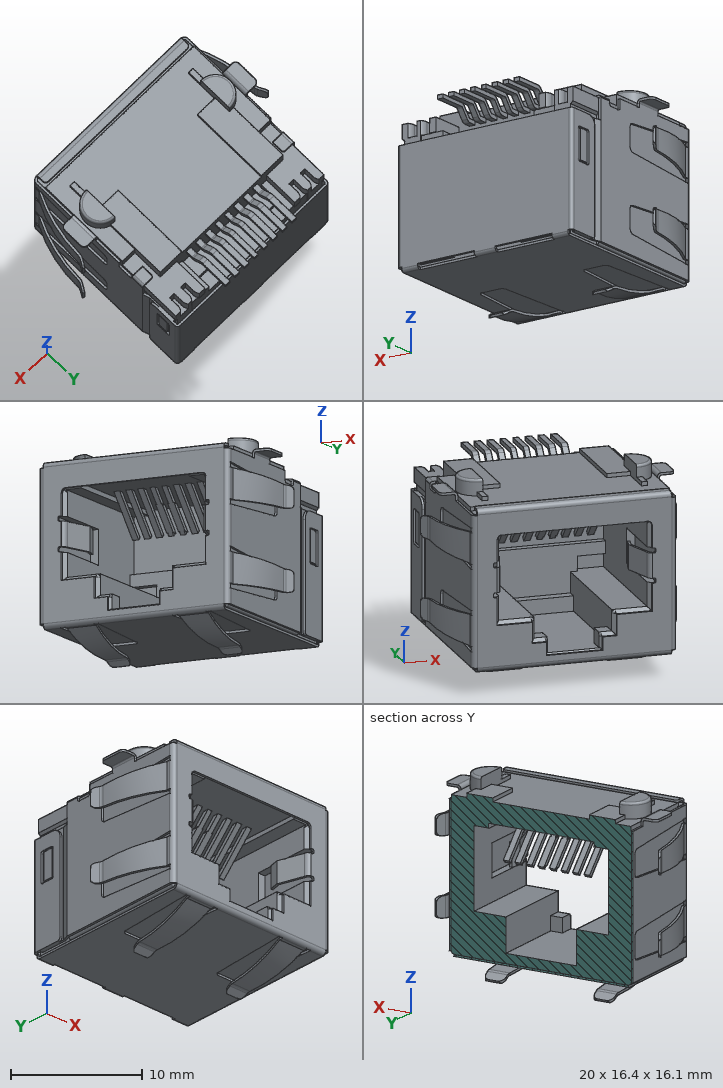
import cadquery as cq
import math


sheet = 0.2
shield_half_width = 8.16
shield_depth = 15.63
shield_height = 13.0
front_bend = 0.4
rear_bend = 0.28
fold_half_width = shield_half_width - front_bend
wall_inner = shield_half_width - sheet
side_bottom = 0.4
side_top = 12.55
side_rear = 11.85
lip_depth = 1.02
lip_corner = 0.3
rear_top = 10.19
flap_front = 12.63
flap_top_corner = 0.8
flap_bottom_corner = 0.3
floor_rear = 15.25
floor_tab_half_width = 0.98
corner_tab_inner = 6.26

step_front = 9.32
step_clip_side = 10.69
step_bottom = 11.6
step_corner = 0.2

tuck_start = 12.43
tuck_rear = 15.0
tuck_outer = wall_inner
window_front, window_rear = 13.43, 14.75
window_bottom, window_top = 6.08, 8.9
window_corner = 0.16
lug_front, lug_rear = 13.59, 14.45
lug_bottom, lug_top = 6.25, 8.82
lug_rise = 0.16

clip_tip = 6.98
clip_top = 12.19
clip_corner = 0.2
ground_front, ground_rear = 4.3, 6.78
ground_tip = 9.38
ground_top = 13.23
ground_corner = 0.4
clip_bend = 0.25
ground_bend = 0.35

port_half_width = 6.2
port_top = 10.83
port_shoulder = 3.65
port_mid_half_width = 3.38
port_mid = 1.96
port_key_half_width = 2.25
port_bottom = 0.9
port_corner = 0.4

port_tab_bottom, port_tab_top = 6.26, 8.26
port_tab_outer = 6.28
port_tab_inner = 5.16
port_tab_bend_y = 2.7
port_tab_return_x = 5.36
port_tab_return_y = 3.6
relief_width = 0.4
relief_reach = 6.48
relief_corner = 0.15

spring_root = 0.7
spring_root_half = 1.25
spring_tip_half = 0.86
spring_mid_y = 3.5
spring_mid_rise = 1.06
spring_kink_y = 6.48
spring_kink_rise = 1.4
spring_kink_radius = 0.6
spring_tip_y = 7.32
spring_tip_rise = 1.85
spring_tip_corner = 0.5
slot_front = 0.36
slot_rear = 8.0
slot_root_half = 1.65
slot_end_half = 1.15
slot_corner = 0.4
side_spring_heights = (3.28, 9.85)
floor_spring_x = 4.82

housing_top = 12.9
housing_rear = 15.25
front_step_depth = 1.2
front_step_top = 12.59
shoulder_rear = 9.48
rear_deck = clip_top - sheet
block_half_width = 6.6
block_rear = 12.2
lower_half_width = tuck_outer - sheet
undercut_bottom, undercut_top = 10.6, 10.8
bay_half_widths = (3.12, 4.26, 4.82)
bay_floors = (9.2, 10.2, undercut_top)
bay_rear_floor = 9.7
relief_face = 15.13
housing_edge = 0.2

rail_top = 13.23
rail_inner = bay_half_widths[1]
rail_front = 5.32
strip_inner = 6.15
strip_front = 2.48
post_radius = 1.56
post_center_x = 6.2
post_top = 14.2
post_edge = 0.2

notch_centers = (5.82, 7.02)
notch_half_width = 0.25
notch_front = 13.89
notch_flare_start = 14.65
notch_flare = 0.18
notch_flare_mid = (0.05, 15.0)
notch_floor = undercut_top

cavity_chamfer = 0.28
cavity_mouth_angle = 45.0
cavity_half_width = port_half_width - cavity_chamfer
cavity_shoulder = port_shoulder + cavity_chamfer
cavity_mid_half_width = port_mid_half_width - cavity_chamfer
cavity_mid = port_mid + cavity_chamfer
cavity_key_half_width = 2.06
cavity_bottom = 1.02
cavity_ceiling = 10.73
contact_bay_half_width = 4.65
contact_bay_ceiling = 11.1
latch_ledge_rear = 1.62
floor_step_y = 10.0
lower_wall_y = 10.8
upper_wall_y = 11.4
upper_wall_bottom = 6.12
corner_pocket_inner = 3.66
corner_pocket_top = 5.12
tab_recess_rear = 5.6
tab_recess_outer = 6.6

contact_count = 8
contact_pitch = 1.02
contact_width = 0.5
middle_contact_width = 0.42
middle_beam_width = 0.56
middle_beam_bottom, middle_beam_top = 8.12, 10.0
contact_thickness = 0.35
foot_rear = 16.45
foot_bend_y = 13.77
heel_bend_y = 12.93
bend_outer_radius = 0.52
bend_inner_radius = bend_outer_radius - contact_thickness
heel_top = 12.2
heel_front = 11.8
beam_front, beam_top = 3.6, 11.6
beam_rear, beam_bottom = 7.2, 7.88


def box(x0, x1, y0, y1, z0, z1):
    return cq.Workplane("XY").box(x1 - x0, y1 - y0, z1 - z0, False).translate((x0, y0, z0))


def both_sides(shape):
    return shape.union(shape.mirror("YZ"))


def side_profile(points, x0, x1):
    """Closed outline of (y, z) points, extruded from x0 to x1."""
    return cq.Workplane("YZ").polyline(points).close().extrude(x1 - x0).translate((x0, 0, 0))


def front_profile(points, y0, y1):
    """Closed outline of (x, z) points, extruded from y0 to y1."""
    return cq.Workplane("XZ").polyline(points).close().extrude(y0 - y1).translate((0, y0, 0))


def plan_profile(points, z0, z1):
    """Closed outline of (x, y) points, extruded from z0 to z1."""
    return cq.Workplane("XY").polyline(points).close().extrude(z1 - z0).translate((0, 0, z0))


def mirrored_outline(half):
    return half + [(-x, z) for x, z in reversed(half)]


def front_and_sides():
    outer = box(-shield_half_width, shield_half_width, 0, side_rear, side_bottom, side_top)
    outer = outer.edges("|Z and <Y").fillet(front_bend)
    inner = box(-wall_inner, wall_inner, sheet, side_rear, side_bottom, side_top)
    wrap = outer.cut(inner.edges("|Z and <Y").fillet(front_bend - sheet))
    step = box(-shield_half_width, shield_half_width, step_front, step_clip_side, step_bottom, side_top)
    step = step.edges("|X and <Z").fillet(step_corner)
    behind_step = box(-shield_half_width, shield_half_width, step_clip_side, side_rear, rear_deck, side_top)
    return wrap.cut(step).cut(behind_step)


def lip_front_and_floor():
    outer = box(-fold_half_width, fold_half_width, 0, floor_rear, 0, shield_height)
    outer = outer.edges("|X and <Y").fillet(front_bend)
    inner = box(-fold_half_width, fold_half_width, sheet, floor_rear, sheet, shield_height - sheet)
    fold = outer.cut(inner.edges("|X and <Y").fillet(front_bend - sheet))
    behind_lip = box(-fold_half_width, fold_half_width, lip_depth, floor_rear, side_top, shield_height)
    fold = fold.cut(behind_lip)
    lip = box(-fold_half_width, fold_half_width, front_bend, lip_depth, side_top, shield_height)
    rounded_lip = lip.edges("|Z and >Y").fillet(lip_corner)
    return fold.cut(lip.cut(rounded_lip))


def rear_and_flaps():
    half = shield_half_width
    outer = box(-half, half, flap_front, shield_depth, side_bottom, rear_top)
    outer = outer.edges("|Z and >Y").fillet(rear_bend)
    inner = box(-wall_inner, wall_inner, flap_front, shield_depth - sheet, side_bottom, rear_top)
    cover = outer.cut(inner.edges("|Z and >Y").fillet(rear_bend - sheet))
    outline = box(-half, half, flap_front, shield_depth, side_bottom, rear_top)
    outline = outline.edges("|X and <Y and >Z").fillet(flap_top_corner)
    outline = outline.edges("|X and <Y and <Z").fillet(flap_bottom_corner)
    window = box(-half, half, window_front, window_rear, window_bottom, window_top)
    return cover.intersect(outline).cut(window.edges("|X").fillet(window_corner))


def floor_to_rear_tab(x0, x1):
    outer = box(x0, x1, floor_rear - sheet, shield_depth, 0, side_bottom + sheet)
    outer = outer.edges("|X and >Y and <Z").fillet(rear_bend)
    inner = box(x0, x1, floor_rear - sheet, shield_depth - sheet, sheet, side_bottom + sheet)
    return outer.cut(inner.edges("|X and >Y and <Z").fillet(rear_bend - sheet))


def tucked_end():
    outer = [
        (shield_half_width, side_rear),
        (tuck_outer, tuck_start),
        (tuck_outer, tuck_rear),
    ]
    inner = [(x - sheet, y) for x, y in reversed(outer)]
    strip = plan_profile(outer + inner, side_bottom, rear_top)
    lug = box(tuck_outer, tuck_outer + lug_rise, lug_front, lug_rear, lug_bottom, lug_top)
    return strip.union(lug)


def inward_clip():
    outer = box(clip_tip, shield_half_width, step_clip_side, side_rear, step_bottom, clip_top)
    outer = outer.edges("|Y and >X and >Z").fillet(clip_bend)
    outer = outer.edges("|Z and <X and >Y").fillet(clip_corner)
    inner = box(clip_tip, wall_inner, step_clip_side, side_rear, step_bottom, rear_deck)
    return outer.cut(inner)


def outward_tab():
    outer = box(wall_inner, ground_tip, ground_front, ground_rear, side_top, ground_top)
    outer = outer.edges("|Y and <X and >Z").fillet(ground_bend)
    outer = outer.edges("|Z and >X").fillet(ground_corner)
    inner = box(shield_half_width, ground_tip, ground_front, ground_rear, side_top, ground_top - sheet)
    return outer.cut(inner.edges("|Y and <X and >Z").fillet(ground_bend - sheet))


def port_outline():
    return mirrored_outline([
        (port_half_width, port_top),
        (port_half_width, port_shoulder),
        (port_mid_half_width, port_shoulder),
        (port_mid_half_width, port_mid),
        (port_key_half_width, port_mid),
        (port_key_half_width, port_bottom),
    ])


def port_opening():
    opening = front_profile(port_outline(), 0, sheet).edges("|Y and >Z").fillet(port_corner)
    for bottom in (port_tab_bottom - relief_width, port_tab_top):
        relief = box(-relief_reach, relief_reach, 0, sheet, bottom, bottom + relief_width)
        opening = opening.union(relief.edges("|Y").fillet(relief_corner))
    return opening


def port_tab():
    height = port_tab_top - port_tab_bottom
    outer = [
        (port_tab_outer, 0),
        (port_tab_outer - front_bend, front_bend),
        (port_tab_inner, port_tab_bend_y),
        (port_tab_return_x, port_tab_return_y),
    ]
    back = [
        (port_tab_return_x + sheet, port_tab_return_y),
        (port_tab_inner + sheet, port_tab_bend_y),
        (port_tab_outer - sheet, front_bend),
        (port_tab_outer, sheet),
    ]
    bend_mid = front_bend * (1 - math.sqrt(0.5))
    return (
        cq.Workplane("XY", origin=(0, 0, port_tab_bottom))
        .moveTo(*outer[0])
        .threePointArc((outer[1][0] + bend_mid, bend_mid), outer[1])
        .lineTo(*outer[2])
        .lineTo(*outer[3])
        .lineTo(*back[0])
        .lineTo(*back[1])
        .lineTo(*back[2])
        .lineTo(*back[3])
        .close()
        .extrude(height)
    )


def spring_slot():
    """Tapered slot around a spring, in a wall whose outer face is Z = 0, leading towards +Y."""
    half = [(slot_root_half, slot_front), (slot_end_half, slot_rear)]
    slot = plan_profile(mirrored_outline(half), -sheet, 0).edges("|Z and >Y").fillet(slot_corner)
    return slot.cut(box(-spring_root_half, spring_root_half, slot_front, spring_root, -sheet, 0))


def spring():
    """Bowed spring rising along +Z from a wall whose outer face is Z = 0."""
    angle = math.atan2(spring_tip_rise - spring_kink_rise, spring_tip_y - spring_kink_y)
    bowed = (
        cq.Workplane("YZ", origin=(-spring_root_half, 0, 0))
        .moveTo(spring_root, 0)
        .threePointArc((spring_mid_y, spring_mid_rise), (spring_kink_y, spring_kink_rise))
        .lineTo(spring_tip_y - sheet * math.sin(angle), spring_tip_rise)
        .lineTo(spring_tip_y, spring_tip_rise - sheet * math.cos(angle))
        .lineTo(spring_kink_y, spring_kink_rise - sheet)
        .threePointArc((spring_mid_y + sheet / 2, spring_mid_rise - sheet), (spring_root, -sheet))
        .close()
        .extrude(2 * spring_root_half)
    )
    kink_zone = cq.selectors.BoxSelector(
        (-spring_root_half, spring_kink_y - sheet / 2, 0),
        (spring_root_half, spring_kink_y + sheet / 2, spring_tip_rise),
    )
    bowed = bowed.edges("|X").edges(kink_zone).fillet(spring_kink_radius)
    half = [(spring_root_half, spring_root), (spring_tip_half, spring_tip_y)]
    outline = plan_profile(mirrored_outline(half), -sheet, spring_tip_rise)
    return bowed.intersect(outline.edges("|Z and >Y").fillet(spring_tip_corner))


def at_springs(shape):
    """Copies of a spring-wall shape at the six spring places: four on the sides and two on the floor."""
    right = shape.rotate((0, 0, 0), (0, 1, 0), 90).translate((shield_half_width, 0, 0))
    places = [right.translate((0, 0, height)) for height in side_spring_heights]
    places.append(shape.rotate((0, 0, 0), (0, 1, 0), 180).translate((floor_spring_x, 0, 0)))
    return places + [place.mirror("YZ") for place in places]


def make_shield():
    shield = front_and_sides().union(lip_front_and_floor()).union(rear_and_flaps())
    shield = shield.union(floor_to_rear_tab(-floor_tab_half_width, floor_tab_half_width))
    shield = shield.union(both_sides(floor_to_rear_tab(corner_tab_inner, fold_half_width)))
    for part in (tucked_end(), inward_clip(), outward_tab()):
        shield = shield.union(both_sides(part))
    shield = shield.cut(port_opening()).union(both_sides(port_tab()))
    for slot in at_springs(spring_slot()):
        shield = shield.cut(slot)
    for blade in at_springs(spring()):
        shield = shield.union(blade)
    return shield


def housing_blank():
    body = box(-wall_inner, wall_inner, sheet, shoulder_rear, sheet, housing_top)
    body = body.union(box(-wall_inner, wall_inner, sheet, housing_rear, sheet, rear_deck))
    body = body.edges("(|Z and <Y) or (|Y and <Z) or (|X and <Y and <Z)").fillet(housing_edge)
    half = block_half_width
    body = body.union(box(-half, half, sheet + housing_edge, block_rear, rear_deck, housing_top))
    return body.cut(box(-wall_inner, wall_inner, 0, front_step_depth, front_step_top, housing_top))


def rear_undercut():
    """Narrows the rear of the housing below the deck so that the tucked shield ends fit."""
    outline = [
        (wall_inner, 0),
        (wall_inner, undercut_top),
        (lower_half_width, undercut_bottom),
        (lower_half_width, 0),
    ]
    return both_sides(front_profile(outline, side_rear, housing_rear))


def contact_bay():
    """Open space behind the block, stepping down towards the middle."""
    steps = []
    for half, floor in zip(bay_half_widths, bay_floors):
        steps.append(box(-half, half, block_rear, housing_rear, floor, rear_deck))
    middle_half = bay_half_widths[1]
    steps.append(box(-middle_half, middle_half, notch_front, housing_rear, bay_rear_floor, rear_deck))
    return steps[0].union(steps[1]).union(steps[2]).union(steps[3])


def rear_relief():
    """Sets the rear face back a little below the notches and beside the middle of the bay."""
    x0, x1 = bay_half_widths[0], notch_centers[0] + notch_half_width + notch_flare
    return both_sides(box(x0, x1, relief_face, housing_rear, side_bottom, undercut_top))


def rail_and_post():
    rail = box(rail_inner, block_half_width, rail_front, block_rear, rear_deck, rail_top)
    strip = box(strip_inner, block_half_width, strip_front, rail_front, front_step_top, rail_top)
    post = cq.Workplane("XY", origin=(post_center_x, rail_front, front_step_top))
    post = post.circle(post_radius).extrude(post_top - front_step_top).faces(">Z").edges().fillet(post_edge)
    outer_half = box(strip_inner, shield_half_width, 0, shoulder_rear, 0, post_top)
    return rail.union(strip).union(post.intersect(outer_half))


def wire_notch(center):
    half = notch_half_width
    mid_out, mid_y = notch_flare_mid
    return (
        cq.Workplane("XY", origin=(center, 0, notch_floor))
        .moveTo(-half, notch_front)
        .lineTo(half, notch_front)
        .lineTo(half, notch_flare_start)
        .threePointArc((half + mid_out, mid_y), (half + notch_flare, housing_rear))
        .lineTo(-half - notch_flare, housing_rear)
        .threePointArc((-half - mid_out, mid_y), (-half, notch_flare_start))
        .close()
        .extrude(rear_deck - notch_floor)
    )


def plug_cavity():
    stepped = mirrored_outline([
        (cavity_half_width, cavity_ceiling),
        (cavity_half_width, cavity_shoulder),
        (cavity_mid_half_width, cavity_shoulder),
        (cavity_mid_half_width, cavity_mid),
        (cavity_key_half_width, cavity_mid),
        (cavity_key_half_width, cavity_bottom),
    ])
    cavity = front_profile(stepped, sheet, latch_ledge_rear)
    wide, mid = cavity_half_width, cavity_mid_half_width
    cavity = cavity.union(box(-wide, wide, sheet, lower_wall_y, cavity_shoulder, cavity_ceiling))
    cavity = cavity.union(box(-wide, wide, lower_wall_y, upper_wall_y, upper_wall_bottom, cavity_ceiling))
    cavity = cavity.union(box(-mid, mid, sheet, lower_wall_y, cavity_mid, cavity_shoulder))
    cavity = cavity.union(box(-mid, mid, latch_ledge_rear, floor_step_y, cavity_bottom, cavity_mid))
    bay = contact_bay_half_width
    cavity = cavity.union(box(-bay, bay, sheet, upper_wall_y, cavity_ceiling, contact_bay_ceiling))
    pocket = box(corner_pocket_inner, wide, lower_wall_y, upper_wall_y, cavity_shoulder, corner_pocket_top)
    recess_bottom = port_tab_bottom - relief_width
    recess_top = port_tab_top + relief_width
    recess = box(wide, tab_recess_outer, sheet, tab_recess_rear, recess_bottom, recess_top)
    return cavity.union(both_sides(pocket.union(recess)))


def cavity_mouth():
    """Lead-in from the shield opening down to the cavity outline."""
    mouth = cq.Workplane("XZ", origin=(0, sheet, 0)).polyline(port_outline()).close()
    return mouth.extrude(-cavity_chamfer, taper=cavity_mouth_angle)


def contact_foot(width):
    """Solder foot stepping down to the heel that enters the block, centred on X = 0."""
    foot_bottom = rail_top - contact_thickness
    heel_bottom = heel_top - contact_thickness
    bend_shift = contact_thickness * (foot_bend_y - heel_bend_y) / (rail_top - heel_top) / 2
    outline = [
        (foot_rear, rail_top),
        (foot_bend_y, rail_top),
        (heel_bend_y, heel_top),
        (heel_front, heel_top),
        (heel_front, heel_bottom),
        (heel_bend_y + bend_shift, heel_bottom),
        (foot_bend_y + bend_shift, foot_bottom),
        (foot_rear, foot_bottom),
    ]
    foot = side_profile(outline, -width / 2, width / 2)
    bends = [
        (*outline[1], bend_outer_radius),
        (*outline[2], bend_inner_radius),
        (*outline[5], bend_outer_radius),
        (*outline[6], bend_inner_radius),
    ]
    for y, z, radius in bends:
        foot = foot.edges(cq.selectors.NearestToPointSelector((0, y, z))).fillet(radius)
    return foot


def contact_beam(width):
    """Spring beam slanting from the cavity ceiling down towards the rear, centred on X = 0."""
    slope = math.atan2(beam_top - beam_bottom, beam_rear - beam_front)
    lift_y = contact_thickness * math.sin(slope)
    lift_z = contact_thickness * math.cos(slope)
    outline = [
        (beam_front, beam_top),
        (beam_rear, beam_bottom),
        (beam_rear + lift_y, beam_bottom + lift_z),
        (beam_front + lift_y, beam_top + lift_z),
    ]
    return side_profile(outline, -width / 2, width / 2)


def outer_contact():
    return contact_foot(contact_width).union(contact_beam(contact_width))


def middle_contact():
    """Narrower contact whose beam widens over its middle stretch."""
    half = middle_beam_width / 2
    widened_zone = box(-half, half, beam_front, upper_wall_y, middle_beam_bottom, middle_beam_top)
    widened = contact_beam(middle_beam_width).intersect(widened_zone)
    return contact_foot(middle_contact_width).union(contact_beam(middle_contact_width)).union(widened)


def make_housing():
    housing = housing_blank().cut(rear_undercut()).cut(contact_bay()).cut(rear_relief())
    housing = housing.union(both_sides(rail_and_post()))
    for center in notch_centers:
        housing = housing.cut(both_sides(wire_notch(center)))
    housing = housing.cut(plug_cavity()).cut(cavity_mouth())
    for index in range(contact_count):
        x = (index - (contact_count - 1) / 2) * contact_pitch
        contact = middle_contact() if abs(x) < contact_pitch else outer_contact()
        housing = housing.union(contact.translate((x, 0, 0)))
    return housing


shield = make_shield()
housing = make_housing()
result = cq.Compound.makeCompound([shield.val(), housing.val()])